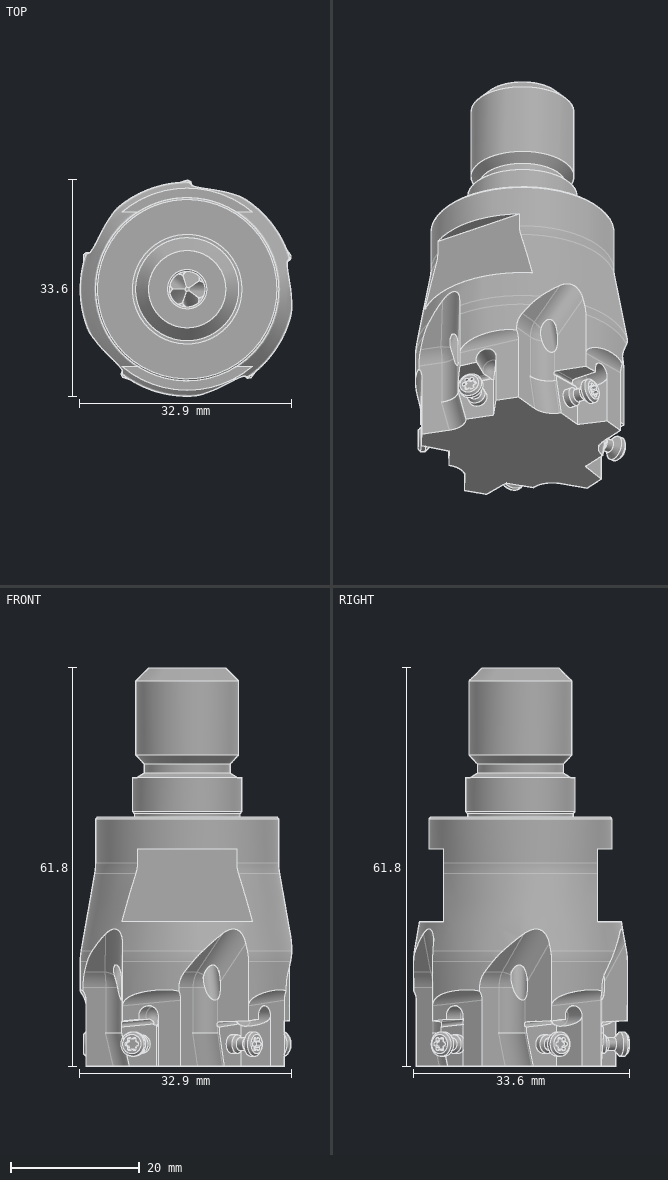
import cadquery as cq
import math


TOOTH_COUNT = 5
FIRST_TOOTH_ANGLE = 180.0
TOOTH_PITCH = 360.0 / TOOTH_COUNT
CLEAR = 30.0

TOTAL_HEIGHT = 61.8
STUD_RADIUS = 8.0
STUD_TIP_CHAMFER = 2.0
THREAD_BOTTOM = 48.3
NECK_RADIUS = 6.7
NECK_TOP = 46.9
NECK_BOTTOM = 45.5
COLLAR_RADIUS = 8.5
COLLAR_TOP = 44.8
COLLAR_BOTTOM = 39.5
RELIEF_RADIUS = 8.2

FLANGE_TOP = 38.7
FLANGE_RADIUS = 14.22
FLANGE_CHAMFER = 0.3
BODY_RADIUS = 16.62
CONE_TOP = 30.75
CONE_BOTTOM = 17.1
CONE_BLEND = 0.82

FLAT_DISTANCE = 11.96
FLAT_BOTTOM = 22.45
FLAT_TOP = 33.7

BORE_RADIUS = 2.75
BORE_MOUTH_RADIUS = 3.05
BORE_MOUTH_DEPTH = 0.95
BORE_BOTTOM = 43.5
CHANNEL_RADIUS = 1.3
CHANNEL_START = (0.0, 0.0, BORE_BOTTOM + 4.5)
CHANNEL_EXIT = (10.8, -8.1, 12.0)
CHANNEL_OVERRUN = 1.2

GULLET_WALL = 8.7
GULLET_ARC_START = 12.2
GULLET_ARC_RADIUS = 4.5
GULLET_RUNOUT_ANGLE = 33.0
GULLET_FLOOR_EDGE = (15.5, -5.5)
GULLET_FLOOR_ANGLE = 20.0
GULLET_FILLET = 3.5
GULLET_BEND_HEIGHT = 5.2
GULLET_LEAN = 13.0

EDGE_TILT = 5.3
RELIEF_DISTANCE = 15.7
RELIEF_TOP = 12.3
RELIEF_FILLET = 2.4

SEAT_DISTANCE = 11.3
SEAT_TOP = 7.55
SEAT_INNER_EDGE = -1.3
SEAT_OUTER_EDGE = 0.4
CORNER_RADIUS = 1.6
CORNER_CENTRE = (12.0, -1.2, 7.8)
GROOVE_RADIUS = 0.4

SCREW_OFFSET = -3.8
SCREW_HEIGHT = 3.45
SCREW_END = 9.5
SCREW_THREAD_RADIUS = 1.45
SCREW_THREAD_TOP = 12.4
SCREW_SHANK_BOTTOM = 12.9
SCREW_SHANK_RADIUS = 1.0
SCREW_CONE_BOTTOM = 14.1
SCREW_HEAD_RADIUS = 1.9
SCREW_RIM_BOTTOM = 15.0
SCREW_RIM_TOP = 15.7
SCREW_CROWN_RADIUS = 1.5
SCREW_TOP = 16.1
SOCKET_CORE_RADIUS = 0.8
SOCKET_LOBE_RADIUS = 0.3
SOCKET_LOBES = 6
SOCKET_DEPTH = 0.8


def tooth_places(shape):
    """Copies of a tooth-frame shape, one at each tooth."""
    return [
        shape.rotate((0, 0, 0), (0, 0, 1), FIRST_TOOTH_ANGLE + TOOTH_PITCH * index)
        for index in range(TOOTH_COUNT)
    ]


def turned_blank():
    """Stud, flange, cone and cutting end as one turned shape."""
    cone_angle = math.atan2(BODY_RADIUS - FLANGE_RADIUS, CONE_TOP - CONE_BOTTOM)
    blend_out = CONE_BLEND * math.sin(cone_angle)
    blend_up = CONE_BLEND * math.cos(cone_angle)
    return (
        cq.Workplane("XZ")
        .lineTo(BODY_RADIUS, 0)
        .lineTo(BODY_RADIUS, CONE_BOTTOM - CONE_BLEND)
        .tangentArcPoint((BODY_RADIUS - blend_out, CONE_BOTTOM + blend_up), relative=False)
        .lineTo(FLANGE_RADIUS + blend_out, CONE_TOP - blend_up)
        .tangentArcPoint((FLANGE_RADIUS, CONE_TOP + CONE_BLEND), relative=False)
        .lineTo(FLANGE_RADIUS, FLANGE_TOP - FLANGE_CHAMFER)
        .lineTo(FLANGE_RADIUS - FLANGE_CHAMFER, FLANGE_TOP)
        .lineTo(RELIEF_RADIUS, FLANGE_TOP)
        .lineTo(RELIEF_RADIUS, COLLAR_BOTTOM - (COLLAR_RADIUS - RELIEF_RADIUS))
        .lineTo(COLLAR_RADIUS, COLLAR_BOTTOM)
        .lineTo(COLLAR_RADIUS, COLLAR_TOP)
        .lineTo(COLLAR_RADIUS - (NECK_BOTTOM - COLLAR_TOP), COLLAR_TOP)
        .lineTo(NECK_RADIUS, NECK_BOTTOM)
        .lineTo(NECK_RADIUS, NECK_TOP)
        .lineTo(STUD_RADIUS, THREAD_BOTTOM)
        .lineTo(STUD_RADIUS, TOTAL_HEIGHT - STUD_TIP_CHAMFER)
        .lineTo(STUD_RADIUS - STUD_TIP_CHAMFER, TOTAL_HEIGHT)
        .lineTo(0, TOTAL_HEIGHT)
        .close()
        .revolve(360, (0, 0, 0), (0, 1, 0))
    )


def wrench_flat(side):
    """Cutter for one wrench flat, on the +Y (1) or -Y (-1) side."""
    return (
        cq.Workplane("XY", origin=(0, side * (FLAT_DISTANCE + CLEAR / 2), FLAT_BOTTOM))
        .rect(2 * CLEAR, CLEAR)
        .extrude(FLAT_TOP - FLAT_BOTTOM)
    )


def coolant_bore():
    """Blind bore down the stud with a tapered mouth."""
    return (
        cq.Workplane("XZ", origin=(0, 0, BORE_BOTTOM))
        .lineTo(BORE_RADIUS, 0)
        .lineTo(BORE_RADIUS, TOTAL_HEIGHT - BORE_BOTTOM - BORE_MOUTH_DEPTH)
        .lineTo(BORE_MOUTH_RADIUS, TOTAL_HEIGHT - BORE_BOTTOM)
        .lineTo(0, TOTAL_HEIGHT - BORE_BOTTOM)
        .close()
        .revolve(360, (0, 0, 0), (0, 1, 0))
    )


def coolant_channel():
    """Slanted channel from the bore to the gullet."""
    start = cq.Vector(*CHANNEL_START)
    run = cq.Vector(*CHANNEL_EXIT) - start
    channel = cq.Solid.makeCylinder(CHANNEL_RADIUS, run.Length * CHANNEL_OVERRUN, start, run)
    return cq.Workplane(obj=channel)


def floor_side(lean):
    """Block on the open side of the gullet floor, leaning about the bend height."""
    edge_x, edge_y = GULLET_FLOOR_EDGE
    block = (
        cq.Workplane("XY")
        .box(4 * CLEAR, 2 * CLEAR, 4 * CLEAR, centered=(True, False, True))
        .translate((0, -2 * CLEAR, 0))
        .rotate((0, 0, 0), (1, 0, 0), lean)
        .rotate((0, 0, 0), (0, 0, 1), GULLET_FLOOR_ANGLE)
    )
    return block.translate((edge_x, edge_y, GULLET_BEND_HEIGHT))


def floor_y_at_wall():
    """Where the upright gullet floor meets the gullet wall."""
    edge_x, edge_y = GULLET_FLOOR_EDGE
    return edge_y - (edge_x - GULLET_WALL) * math.tan(math.radians(GULLET_FLOOR_ANGLE))


def upper_gullet():
    """Upright wall curving into a sloped runout."""
    slope = math.radians(GULLET_RUNOUT_ANGLE)
    arc_x = GULLET_WALL + GULLET_ARC_RADIUS * (1 - math.cos(slope))
    arc_z = GULLET_ARC_START + GULLET_ARC_RADIUS * math.sin(slope)
    end_z = arc_z + (CLEAR - arc_x) / math.tan(slope)
    profile = (
        cq.Workplane("XZ")
        .moveTo(GULLET_WALL, GULLET_BEND_HEIGHT)
        .lineTo(GULLET_WALL, GULLET_ARC_START)
        .tangentArcPoint((arc_x, arc_z), relative=False)
        .lineTo(CLEAR, end_z)
        .lineTo(CLEAR, GULLET_BEND_HEIGHT)
        .close()
    )
    cutter = profile.extrude(CLEAR).intersect(floor_side(0))
    floor_point = (GULLET_WALL, floor_y_at_wall(), GULLET_ARC_START - 1)
    return cutter.edges(cq.selectors.NearestToPointSelector(floor_point)).fillet(GULLET_FILLET)


def lower_gullet():
    """Gullet below the bend, with its floor leaning towards the seat."""
    cutter = (
        cq.Workplane("XY")
        .box(CLEAR, CLEAR, GULLET_BEND_HEIGHT + 1, centered=False)
        .translate((GULLET_WALL, -CLEAR, -1))
        .intersect(floor_side(GULLET_LEAN))
    )
    floor_point = (GULLET_WALL, floor_y_at_wall() + 1, GULLET_BEND_HEIGHT / 2)
    return cutter.edges(cq.selectors.NearestToPointSelector(floor_point)).fillet(GULLET_FILLET)


def back_relief():
    """Flat on the back of the tooth with a rounded top."""
    return (
        cq.Workplane("XY")
        .box(CLEAR, CLEAR, CLEAR, centered=(False, True, False))
        .translate((RELIEF_DISTANCE, 0, -CLEAR))
        .edges("<X and >Z")
        .fillet(RELIEF_FILLET)
        .rotate((0, 0, 0), (1, 0, 0), EDGE_TILT)
        .translate((0, 0, RELIEF_TOP))
    )


def insert_seat():
    """Seat with a sloped side wall, a tilted top, a relief groove and a ball-ended corner relief."""
    pocket = (
        cq.Workplane("XY")
        .moveTo(SEAT_DISTANCE, -CLEAR)
        .lineTo(SEAT_DISTANCE, SEAT_INNER_EDGE)
        .lineTo(RELIEF_DISTANCE, SEAT_OUTER_EDGE)
        .lineTo(CLEAR, SEAT_OUTER_EDGE)
        .lineTo(CLEAR, -CLEAR)
        .close()
        .extrude(CLEAR)
    )
    below_top = (
        cq.Workplane("XY")
        .box(2 * CLEAR, 3 * CLEAR, CLEAR, centered=(False, True, False))
        .translate((0, 0, -CLEAR))
        .rotate((0, 0, 0), (1, 0, 0), EDGE_TILT)
        .translate((0, 0, SEAT_TOP))
    )
    groove = (
        cq.Workplane("XZ", origin=(SEAT_DISTANCE, SEAT_INNER_EDGE, 0))
        .circle(GROOVE_RADIUS)
        .extrude(CLEAR)
        .rotate((0, 0, 0), (1, 0, 0), EDGE_TILT)
        .translate((0, 0, SEAT_TOP - GROOVE_RADIUS))
    )
    corner = (
        cq.Workplane("YZ")
        .circle(CORNER_RADIUS)
        .extrude(CLEAR)
        .union(cq.Workplane("XY").sphere(CORNER_RADIUS))
        .translate(CORNER_CENTRE)
    )
    return pocket.intersect(below_top).union(groove).union(corner)


def screw():
    """Insert screw with a six-lobe socket."""
    blank = (
        cq.Workplane("XY")
        .moveTo(SCREW_END, 0)
        .lineTo(SCREW_END, SCREW_THREAD_RADIUS)
        .lineTo(SCREW_THREAD_TOP, SCREW_THREAD_RADIUS)
        .lineTo(SCREW_SHANK_BOTTOM, SCREW_SHANK_RADIUS)
        .lineTo(SCREW_CONE_BOTTOM, SCREW_SHANK_RADIUS)
        .lineTo(SCREW_RIM_BOTTOM, SCREW_HEAD_RADIUS)
        .lineTo(SCREW_RIM_TOP, SCREW_HEAD_RADIUS)
        .lineTo(SCREW_TOP, SCREW_CROWN_RADIUS)
        .lineTo(SCREW_TOP, 0)
        .close()
        .revolve(360, (0, 0, 0), (1, 0, 0))
    )
    socket_plane = cq.Workplane("YZ", origin=(SCREW_TOP - SOCKET_DEPTH, 0, 0))
    core = socket_plane.circle(SOCKET_CORE_RADIUS).extrude(SOCKET_DEPTH)
    lobes = (
        socket_plane.polarArray(SOCKET_CORE_RADIUS, 0, 360, SOCKET_LOBES)
        .circle(SOCKET_LOBE_RADIUS)
        .extrude(SOCKET_DEPTH)
    )
    return blank.cut(core).cut(lobes).translate((0, SCREW_OFFSET, SCREW_HEIGHT))


def screw_hole():
    """Blind hole in the seat that the screw thread fills."""
    return (
        cq.Workplane("YZ", origin=(SCREW_END, 0, 0))
        .center(SCREW_OFFSET, SCREW_HEIGHT)
        .circle(SCREW_THREAD_RADIUS)
        .extrude(SEAT_DISTANCE - SCREW_END)
    )


body = turned_blank().cut(coolant_bore())
for flat_side in (-1, 1):
    body = body.cut(wrench_flat(flat_side))
tooth_features = [
    back_relief(),
    upper_gullet(),
    lower_gullet(),
    insert_seat(),
    screw_hole(),
    coolant_channel(),
]
for feature in tooth_features:
    for cutter in tooth_places(feature):
        body = body.cut(cutter)

screws = tooth_places(screw())

result = cq.Compound.makeCompound([body.solids().val(), *[placed.solids().val() for placed in screws]])